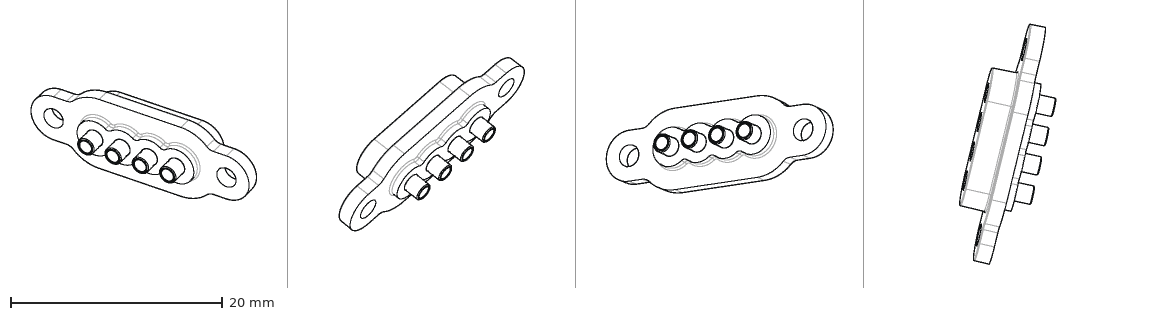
import cadquery as cq
import math


LENGTH = 24.0
HEIGHT = 8.0
FLANGE_THICKNESS = 1.5
EAR_RADIUS = 2.5
EAR_HOLE_DIAMETER = 2.1
EAR_BLEND_RADIUS = 1.0
DRAFT_ANGLE = 1.0

CONTACT_COUNT = 4
CONTACT_PITCH = 3.0
CONTACT_BODY_DIAMETER = 1.85
CONTACT_TAIL_DIAMETER = 1.8
TAIL_LENGTH = 1.7
TAIL_CHAMFER = 0.1
CUP_DIAMETER = 1.3
CUP_DEPTH = 2.4
CUP_TIP_ANGLE = 118.0
CUP_MOUTH_CHAMFER = 0.05

PLUG_DEPTH = 2.5
PLUG_RADIUS = 2.47
PLUG_BASE_FILLET = 0.15
REAR_EDGE_FILLET = 0.1

BOSS_HEIGHT = 0.85
LOBE_RADIUS = 1.92
LOBE_BLEND_RADIUS = 0.5
BOSS_BASE_FILLET = 0.2

PICK_MARGIN = 0.12

contact_xs = [(i - (CONTACT_COUNT - 1) / 2) * CONTACT_PITCH for i in range(CONTACT_COUNT)]
row_end_x = contact_xs[-1]
ear_x = LENGTH / 2 - EAR_RADIUS
plug_end_y = FLANGE_THICKNESS + PLUG_DEPTH
contact_front_y = -BOSS_HEIGHT - TAIL_LENGTH


def facing_back(y):
    """Workplane at the given Y with its normal along +Y."""
    return cq.Workplane(cq.Plane(origin=(0, y, 0), xDir=(-1, 0, 0), normal=(0, 1, 0)))


def drafted_slot(y, depth, end_x, radius):
    """Round-ended block from y to y + depth that narrows toward +Y."""
    return facing_back(y).slot2D(2 * (end_x + radius), 2 * radius).extrude(depth, taper=DRAFT_ANGLE)


def fillet_corners(solid, xs, z, y, radius):
    """Round the edges along Y whose midpoints lie near each x and +-z at the given Y."""
    picked = None
    for x in xs:
        for side in (-1, 1):
            low = (x - PICK_MARGIN, y - PICK_MARGIN, side * z - PICK_MARGIN)
            high = (x + PICK_MARGIN, y + PICK_MARGIN, side * z + PICK_MARGIN)
            box = cq.selectors.BoxSelector(low, high)
            picked = box if picked is None else picked + box
    return solid.edges(picked).fillet(radius)


def fillet_base(solid, y, end_x, radius, fillet):
    """Round the closed edge loop at the given Y inside a box around a row of that size."""
    reach = radius + PICK_MARGIN
    low = (-end_x - reach, y - PICK_MARGIN, -reach)
    high = (end_x + reach, y + PICK_MARGIN, reach)
    return solid.edges(cq.selectors.BoxSelector(low, high, boundingbox=True)).fillet(fillet)


def make_flange():
    """Plate with a wide middle and two ears, the corners between them rounded."""
    middle_radius = HEIGHT / 2
    middle = drafted_slot(0, FLANGE_THICKNESS, row_end_x, middle_radius)
    ears = drafted_slot(0, FLANGE_THICKNESS, ear_x, EAR_RADIUS)
    corner_x = row_end_x + math.sqrt(middle_radius**2 - EAR_RADIUS**2)
    corner_xs = (-corner_x, corner_x)
    return fillet_corners(
        middle.union(ears), corner_xs, EAR_RADIUS, FLANGE_THICKNESS / 2, EAR_BLEND_RADIUS
    )


def make_boss():
    """Row of overlapping round lobes with the notches between them rounded."""
    boss = cq.Workplane()
    for x in contact_xs:
        lobe = facing_back(-BOSS_HEIGHT).center(-x, 0).circle(LOBE_RADIUS).extrude(BOSS_HEIGHT)
        boss = boss.union(lobe)
    notch_xs = [x + CONTACT_PITCH / 2 for x in contact_xs[:-1]]
    notch_z = math.sqrt(LOBE_RADIUS**2 - (CONTACT_PITCH / 2) ** 2)
    return fillet_corners(boss, notch_xs, notch_z, -BOSS_HEIGHT / 2, LOBE_BLEND_RADIUS)


def make_housing():
    """Flange, rear plug and front boss in one piece, with ear holes and contact bores."""
    plug = drafted_slot(FLANGE_THICKNESS, PLUG_DEPTH, row_end_x, PLUG_RADIUS)
    plug = plug.faces(">Y").edges().fillet(REAR_EDGE_FILLET)
    flange = make_flange().faces(">Y").edges().fillet(REAR_EDGE_FILLET)
    housing = flange.union(plug).union(make_boss())
    housing = fillet_base(housing, FLANGE_THICKNESS, row_end_x, PLUG_RADIUS, PLUG_BASE_FILLET)
    housing = fillet_base(housing, 0, row_end_x, LOBE_RADIUS, BOSS_BASE_FILLET)

    ear_holes = facing_back(0).pushPoints([(-ear_x, 0), (ear_x, 0)]).circle(EAR_HOLE_DIAMETER / 2)
    bores = facing_back(-BOSS_HEIGHT).pushPoints([(x, 0) for x in contact_xs])
    bores = bores.circle(CONTACT_BODY_DIAMETER / 2)
    housing = housing.cut(ear_holes.extrude(FLANGE_THICKNESS))
    return housing.cut(bores.extrude(plug_end_y + BOSS_HEIGHT))


def make_contact(x):
    """Contact with a body filling its bore and a thinner tail holding a cone-bottomed solder cup."""
    body_radius = CONTACT_BODY_DIAMETER / 2
    tail_radius = CONTACT_TAIL_DIAMETER / 2
    cup_radius = CUP_DIAMETER / 2
    cup_floor_y = contact_front_y + CUP_DEPTH
    cup_tip_y = cup_floor_y + cup_radius / math.tan(math.radians(CUP_TIP_ANGLE / 2))
    profile = [
        (0, cup_tip_y),
        (cup_radius, cup_floor_y),
        (cup_radius, contact_front_y + CUP_MOUTH_CHAMFER),
        (cup_radius + CUP_MOUTH_CHAMFER, contact_front_y),
        (tail_radius - TAIL_CHAMFER, contact_front_y),
        (tail_radius, contact_front_y + TAIL_CHAMFER),
        (tail_radius, -BOSS_HEIGHT),
        (body_radius, -BOSS_HEIGHT),
        (body_radius, plug_end_y),
        (0, plug_end_y),
    ]
    contact = cq.Workplane("XY").polyline(profile).close().revolve(360, (0, 0, 0), (0, 1, 0))
    return contact.translate((x, 0, 0))


housing = make_housing()
contacts = [make_contact(x) for x in contact_xs]

result = cq.Compound.makeCompound([housing.val(), *[contact.val() for contact in contacts]])